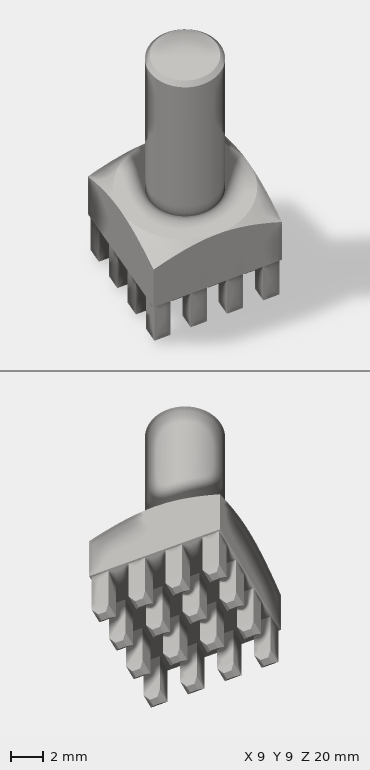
import cadquery as cq
import math

body_width = 9.0
body_height = 4.5
crown_angle = 30.0

shaft_diameter = 5.0
shaft_height = 12.0
shaft_chamfer = 0.3

pin_count = 4
pin_pitch = 2.55
pin_width = 1.15
pin_length = 3.5
pin_chamfer = 0.3


def make_body():
    """Square block whose top corners are turned down to a cone, as on a nut."""
    block = cq.Workplane("XY").box(body_width, body_width, body_height, centered=(True, True, False))
    top_radius = body_width / 2
    slope = math.tan(math.radians(crown_angle))
    base_radius = top_radius + body_height / slope
    crown = (
        cq.Workplane("XZ")
        .polyline([(0, 0), (base_radius, 0), (top_radius, body_height), (0, body_height)])
        .close()
        .revolve(360, (0, 0, 0), (0, 1, 0))
    )
    return block.intersect(crown)


def make_shaft():
    """Cylinder standing on the body, with a chamfered end."""
    return (
        cq.Workplane("XY")
        .workplane(offset=body_height)
        .circle(shaft_diameter / 2)
        .extrude(shaft_height)
        .faces(">Z")
        .chamfer(shaft_chamfer)
    )


def make_pins():
    """Square grid of pins hanging from the body, each with a chamfered tip."""
    return (
        cq.Workplane("XY")
        .rarray(pin_pitch, pin_pitch, pin_count, pin_count)
        .rect(pin_width, pin_width)
        .extrude(-pin_length)
        .faces("<Z")
        .chamfer(pin_chamfer)
    )


result = make_body().union(make_shaft()).union(make_pins())